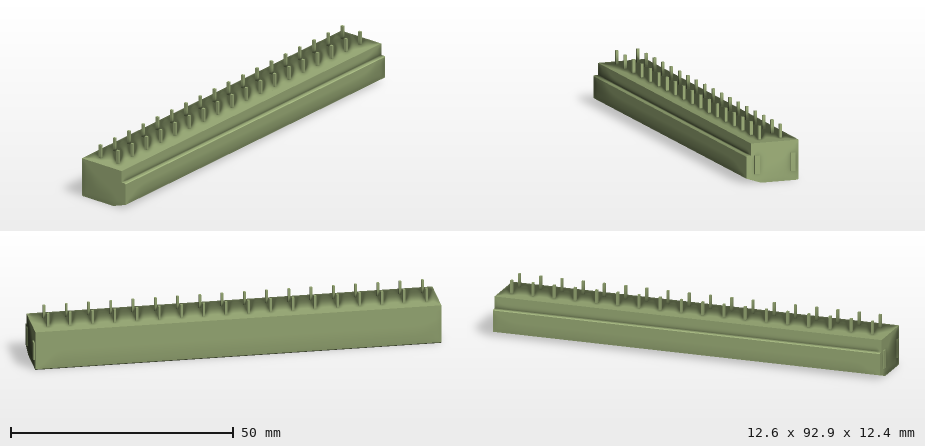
import cadquery as cq

total_length = 92.9
width = 12.6
total_height = 12.4

body_height = 9.2
top_width = 11.5
ledge_height = 6.4
bevel_height = 1.2
bottom_width = 9.1
edge_chamfer = 0.3
ledge_chamfer = 0.2

rib_depth = 0.325
rib_width = 1.2
rib_bottom = 2.1
rib_centers_x = (1.5, 10.1)

pin_size_x = 0.65
pin_size_y = 0.6
pins_per_row = 18
pin_row_length = 86.3
pin_pitch = pin_row_length / (pins_per_row - 1)
first_row_x = 3.1
first_pin_y = 2.9

body_length = total_length - rib_depth
pin_height = total_height - body_height
rib_height = ledge_height - rib_bottom


def make_housing():
    """Long bar with a ledge and a sloping lower bevel along its +X side."""
    profile = [
        (edge_chamfer, 0),
        (bottom_width, 0),
        (width, bevel_height),
        (width, ledge_height - ledge_chamfer),
        (width - ledge_chamfer, ledge_height),
        (top_width, ledge_height),
        (top_width, body_height),
        (0, body_height),
        (0, edge_chamfer),
    ]
    return cq.Workplane("XZ").polyline(profile).close().extrude(-body_length)


def make_ribs():
    """Shallow upright ribs standing out from the +Y end face."""
    centers = [(x, rib_bottom + rib_height / 2) for x in rib_centers_x]
    end_face = cq.Workplane("XZ", origin=(0, body_length, 0))
    return end_face.pushPoints(centers).rect(rib_width, rib_height).extrude(-rib_depth)


def make_pins():
    """Rectangular pins on the top face, spaced evenly along Y."""
    centers = [
        (row_x, first_pin_y + index * pin_pitch)
        for row_x in (first_row_x, first_row_x + pin_pitch)
        for index in range(pins_per_row)
    ]
    top_face = cq.Workplane("XY", origin=(0, 0, body_height))
    return top_face.pushPoints(centers).rect(pin_size_x, pin_size_y).extrude(pin_height)


result = make_housing().union(make_ribs()).union(make_pins())